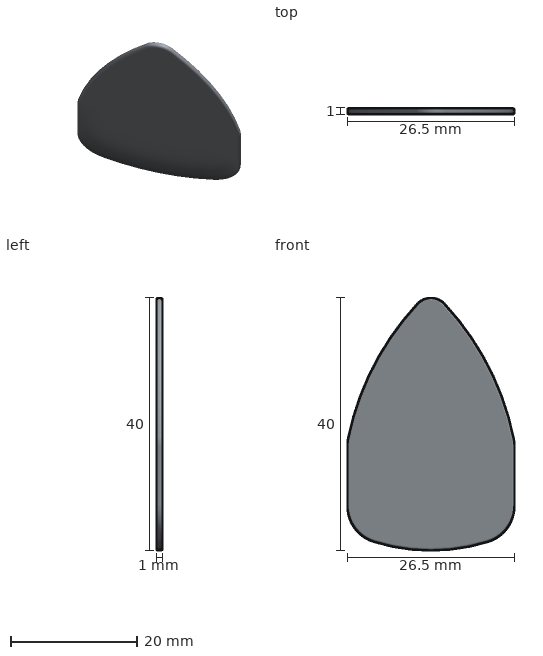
import math

import cadquery as cq

WIDTH = 26.47
HEIGHT = 40.0
THICKNESS = 1.0
EDGE_RADIUS = 0.4

TIP_RADIUS = 2.9
SIDE_RADIUS = 44.0
SHOULDER_RADIUS = 6.0
CORNER_RADIUS = 6.0
BASE_RADIUS = 30.0
SHOULDER_HEIGHT = 16.55

HALF_WIDTH = WIDTH / 2


def point_at_distances(first, first_distance, second, second_distance):
    """Point at the given distances from two points, on the left when going from first to second."""
    dx = second[0] - first[0]
    dz = second[1] - first[1]
    gap = math.hypot(dx, dz)
    along = (first_distance**2 - second_distance**2 + gap**2) / (2 * gap)
    across = math.sqrt(first_distance**2 - along**2)
    return (
        first[0] + (along * dx - across * dz) / gap,
        first[1] + (along * dz + across * dx) / gap,
    )


def point_on_circle(center, radius, angle):
    return (center[0] + radius * math.cos(angle), center[1] + radius * math.sin(angle))


def direction(start, end):
    return math.atan2(end[1] - start[1], end[0] - start[0])


def mirrored(point):
    return (-point[0], point[1])


def make_outline():
    """Closed, tangent-continuous outline, symmetric about X = 0, with its lowest point at the origin."""
    tip_center = (0, HEIGHT - TIP_RADIUS)
    shoulder_center = (HALF_WIDTH - SHOULDER_RADIUS, SHOULDER_HEIGHT)
    base_center = (0, BASE_RADIUS)

    side_center = point_at_distances(
        shoulder_center,
        SIDE_RADIUS - SHOULDER_RADIUS,
        tip_center,
        SIDE_RADIUS - TIP_RADIUS,
    )
    tip_angle = direction(side_center, tip_center)
    shoulder_angle = direction(side_center, shoulder_center)

    corner_x = HALF_WIDTH - CORNER_RADIUS
    corner_z = BASE_RADIUS - math.sqrt((BASE_RADIUS - CORNER_RADIUS) ** 2 - corner_x**2)
    corner_center = (corner_x, corner_z)
    corner_angle = direction(base_center, corner_center)

    tip_end = point_on_circle(tip_center, TIP_RADIUS, tip_angle)
    side_middle = point_on_circle(side_center, SIDE_RADIUS, (tip_angle + shoulder_angle) / 2)
    side_end = point_on_circle(side_center, SIDE_RADIUS, shoulder_angle)
    shoulder_middle = point_on_circle(shoulder_center, SHOULDER_RADIUS, shoulder_angle / 2)
    straight_top = (HALF_WIDTH, SHOULDER_HEIGHT)
    straight_bottom = (HALF_WIDTH, corner_z)
    corner_middle = point_on_circle(corner_center, CORNER_RADIUS, corner_angle / 2)
    corner_end = point_on_circle(corner_center, CORNER_RADIUS, corner_angle)
    base_middle = point_on_circle(base_center, BASE_RADIUS, (corner_angle - math.pi / 2) / 2)
    base_bottom = (0, 0)

    return (
        cq.Workplane("XZ")
        .moveTo(*mirrored(tip_end))
        .threePointArc((0, HEIGHT), tip_end)
        .threePointArc(side_middle, side_end)
        .threePointArc(shoulder_middle, straight_top)
        .lineTo(*straight_bottom)
        .threePointArc(corner_middle, corner_end)
        .threePointArc(base_middle, base_bottom)
        .threePointArc(mirrored(base_middle), mirrored(corner_end))
        .threePointArc(mirrored(corner_middle), mirrored(straight_bottom))
        .lineTo(*mirrored(straight_top))
        .threePointArc(mirrored(shoulder_middle), mirrored(side_end))
        .threePointArc(mirrored(side_middle), mirrored(tip_end))
        .close()
    )


def make_plate():
    """Flat plate centred on Y = 0, with both rims rounded."""
    plate = make_outline().extrude(THICKNESS / 2, both=True)
    return plate.faces("<Y or >Y").edges().fillet(EDGE_RADIUS)


result = make_plate()